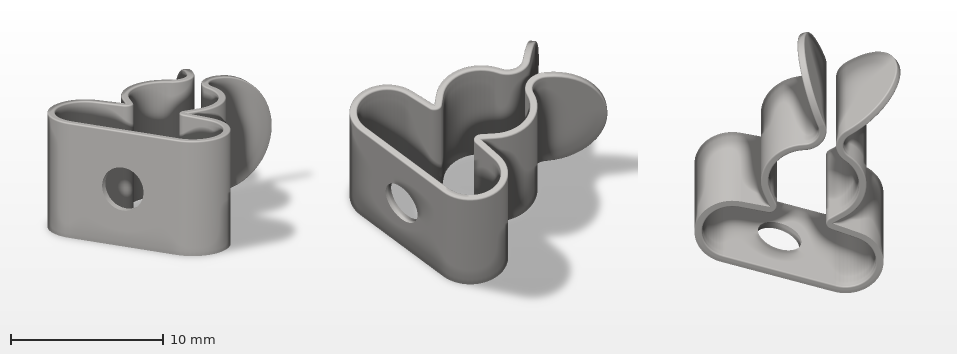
import cadquery as cq
import math

width = 8.0
thickness = 0.5
edge_radius = 0.1

base_length = 12.8
base_end_radius = 2.5
shoulder_angle = 5.0
hole_diameter = 3.0

clip_width = 7.0
clip_radius = 3.0
clip_height = 7.8
waist_angle = 51.0
neck_gap = 0.8
neck_radius = 1.5
arm_angle = 52.5
arm_length = 4.08
tip_radius = width / 2

touch_tolerance = 0.001


def polar(center, radius, degrees):
    """Point at a distance and direction from a center."""
    angle = math.radians(degrees)
    return (center[0] + radius * math.cos(angle), center[1] + radius * math.sin(angle))


def crossing(point_a, degrees_a, point_b, degrees_b):
    """Meeting point of two lines, each given by a point and a direction."""
    ax, ay = polar((0, 0), 1, degrees_a)
    bx, by = polar((0, 0), 1, degrees_b)
    dx = point_b[0] - point_a[0]
    dy = point_b[1] - point_a[1]
    distance = (dx * by - dy * bx) / (ax * by - ay * bx)
    return polar(point_a, distance, degrees_a)


base_center = (base_length / 2 - base_end_radius, base_end_radius)
clip_center = (clip_width / 2 - clip_radius, clip_height)
neck_x = neck_gap / 2 + neck_radius
center_distance = clip_radius - thickness + neck_radius
neck_y = clip_height + math.sqrt(center_distance**2 - (neck_x - clip_center[0]) ** 2)
neck_center = (neck_x, neck_y)

base_end = 90 - shoulder_angle
clip_start = waist_angle - 90
clip_end = math.degrees(math.atan2(neck_y - clip_height, neck_x - clip_center[0]))
neck_start = clip_end + 180
neck_end = 90 + arm_angle

fold = crossing(
    polar(base_center, base_end_radius, base_end), -shoulder_angle,
    polar(clip_center, clip_radius, clip_start), waist_angle,
)
fold_base_side = 270 - shoulder_angle
fold_clip_side = 90 + waist_angle


def add_arc(path, center, radius, start, end):
    """Continue the path with a straight to the arc's start, then the arc."""
    first = polar(center, radius, start)
    middle = polar(center, radius, (start + end) / 2)
    last = polar(center, radius, end)
    return path.lineTo(*first).threePointArc(middle, last)


def half_band():
    """Right half of the bent strip, from the middle of the back wall to the neck."""
    path = cq.Workplane("XY").workplane(offset=-width / 2)
    path = path.moveTo(0, 0)
    path = add_arc(path, base_center, base_end_radius, -90, base_end)
    path = path.lineTo(*fold)
    path = add_arc(path, clip_center, clip_radius, clip_start, clip_end)
    path = path.threePointArc(
        polar(neck_center, neck_radius - thickness, (neck_start + neck_end) / 2),
        polar(neck_center, neck_radius - thickness, neck_end),
    )
    path = add_arc(path, neck_center, neck_radius, neck_end, neck_start)
    path = path.threePointArc(
        polar(clip_center, clip_radius - thickness, (clip_start + clip_end) / 2),
        polar(clip_center, clip_radius - thickness, clip_start),
    )
    path = add_arc(path, fold, thickness, fold_clip_side, fold_base_side)
    path = add_arc(path, base_center, base_end_radius - thickness, base_end, -90)
    return path.lineTo(0, thickness).close().extrude(width)


def arm():
    """Flared right arm with a round tip, starting at the end of the neck."""
    root = polar(neck_center, neck_radius, neck_end)
    along = polar((0, 0), 1, arm_angle)
    across = polar((0, 0), 1, arm_angle - 90)
    plane = cq.Plane(origin=(*root, 0), xDir=(*along, 0), normal=(*across, 0))
    straight = arm_length - tip_radius
    return (
        cq.Workplane(plane)
        .moveTo(0, -tip_radius)
        .lineTo(straight, -tip_radius)
        .threePointArc((arm_length, 0), (straight, tip_radius))
        .lineTo(0, tip_radius)
        .close()
        .extrude(thickness)
    )


def square_edge_points():
    """One point on each lower edge around the outside of the base, which stays square."""
    shoulder_start = polar(base_center, base_end_radius, base_end)
    shoulder_middle = ((shoulder_start[0] + fold[0]) / 2, (shoulder_start[1] + fold[1]) / 2)
    points = [(0, 0, -width / 2)]
    for x, y in (polar(base_center, base_end_radius, 0), shoulder_middle):
        points.append((x, y, -width / 2))
        points.append((-x, y, -width / 2))
    return [cq.Vertex.makeVertex(*point) for point in points]


def clip_body():
    """Both halves joined, with the rim of the strip rounded except below the base's outside."""
    half = half_band().union(arm())
    body = half.union(half.mirror("YZ"))
    square_points = square_edge_points()

    def is_rounded(edge):
        return all(edge.distance(point) > touch_tolerance for point in square_points)

    return body.faces("|Z").edges().filter(is_rounded).fillet(edge_radius)


def hole_cutter():
    """Pin that pierces only the back wall."""
    return cq.Workplane("XZ").circle(hole_diameter / 2).extrude(-base_end_radius)


result = clip_body().cut(hole_cutter())